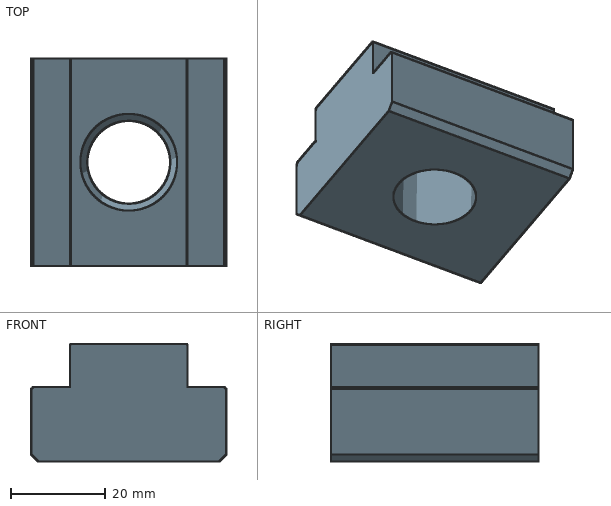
import cadquery as cq

length = 44.0
base_width = 41.3
total_height = 25.0
base_height = 15.9
stem_width = 24.9

bottom_chamfer = 1.5
shoulder_chamfer = 0.5
stem_chamfer = 0.2

hole_diameter = 17.5
countersink_diameter = 20.5
countersink_angle = 90.0


def t_profile():
    """Closed T-shaped cross-section with chamfered outer corners."""
    half_base = base_width / 2
    half_stem = stem_width / 2
    right_side = [
        (half_base - bottom_chamfer, 0),
        (half_base, bottom_chamfer),
        (half_base, base_height - shoulder_chamfer),
        (half_base - shoulder_chamfer, base_height),
        (half_stem, base_height),
        (half_stem, total_height - stem_chamfer),
        (half_stem - stem_chamfer, total_height),
    ]
    left_side = [(-x, z) for x, z in reversed(right_side)]
    return cq.Workplane("XZ").polyline(right_side + left_side).close()


body = t_profile().extrude(length / 2, both=True)

result = (
    body.faces(">Z")
    .workplane(origin=(0, 0, total_height))
    .cskHole(hole_diameter, countersink_diameter, countersink_angle)
)